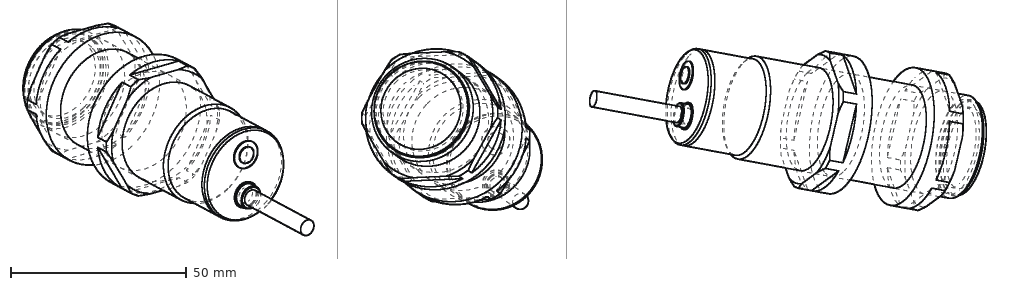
import cadquery as cq
import math


BARREL_RADIUS = 15.0
BARREL_FRONT_X = 1.0
BARREL_REAR_X = 70.6
BARREL_CHAMFER = 1.0
NECK_RADIUS = BARREL_RADIUS - BARREL_CHAMFER
NECK_REAR_X = 87.0

FACE_RING_RADIUS = 13.8
FACE_DISC_RADIUS = 11.8
FACE_DEPTH = 2.4

NUT_RADIUS = 40.0 / 2
HEX_SIDES = 6
NUT_FLAT_DISTANCE = 18.0
NUT_CORNER_RADIUS = NUT_FLAT_DISTANCE / math.cos(math.pi / HEX_SIDES)
NUT_HEX_LENGTH = 5.0
NUT_FLANGE_LENGTH = 5.0
NUT_LENGTH = NUT_HEX_LENGTH + NUT_FLANGE_LENGTH
NUT_CHAMFER_HEIGHT = 1.3
NUT_CHAMFER_ANGLE = 30
NUT_CHAMFER_LENGTH = NUT_CHAMFER_HEIGHT * math.tan(math.radians(NUT_CHAMFER_ANGLE))
FRONT_NUT_X = 9.9
REAR_NUT_X = 49.7

CAP_REAR_X = 88.9
CAP_CHAMFER_LENGTH = 0.7
CAP_CHAMFER_HEIGHT = 0.5
BOSS_COLLAR_HEIGHT = 0.4
GLAND_Z = -6.0
GLAND_COLLAR_RADIUS = 3.9
GLAND_RADIUS = 3.5
GLAND_LENGTH = 2.9
GLAND_CHAMFER = 0.2
LENS_Z = 6.4
LENS_COLLAR_RADIUS = 4.2
LENS_RADIUS = 2.5
LENS_HEIGHT = 0.7

CABLE_RADIUS = 2.4
CABLE_FRONT_X = CAP_REAR_X
CABLE_REAR_X = 118.8


def cylinder(start_x, end_x, radius, z=0):
    """Solid cylinder along X, centred at height z."""
    return (
        cq.Workplane("YZ", origin=(start_x, 0, z))
        .circle(radius)
        .extrude(end_x - start_x)
    )


def turned(points):
    """Solid turned about the X axis from (x, radius) points."""
    return cq.Workplane("XY").polyline(points).close().revolve(360, (0, 0, 0), (1, 0, 0))


def make_housing():
    body = turned([
        (BARREL_FRONT_X, 0),
        (BARREL_FRONT_X, BARREL_RADIUS - BARREL_CHAMFER),
        (BARREL_FRONT_X + BARREL_CHAMFER, BARREL_RADIUS),
        (BARREL_REAR_X - BARREL_CHAMFER, BARREL_RADIUS),
        (BARREL_REAR_X, NECK_RADIUS),
        (NECK_REAR_X, NECK_RADIUS),
        (NECK_REAR_X, 0),
    ])
    face_seat = cylinder(0, FACE_DEPTH, FACE_RING_RADIUS)
    return body.cut(face_seat)


def make_face_disc():
    return cylinder(0, FACE_DEPTH, FACE_DISC_RADIUS)


def make_face_ring():
    return cylinder(0, FACE_DEPTH, FACE_RING_RADIUS).cut(make_face_disc())


def make_lock_nut():
    """Nut with its hexagon end at X = 0 and its flange end at X = NUT_LENGTH."""
    blank = turned([
        (0, 0),
        (0, NUT_RADIUS - NUT_CHAMFER_HEIGHT),
        (NUT_CHAMFER_LENGTH, NUT_RADIUS),
        (NUT_LENGTH, NUT_RADIUS),
        (NUT_LENGTH, 0),
    ])
    hexagon = (
        cq.Workplane("YZ")
        .polygon(HEX_SIDES, 2 * NUT_CORNER_RADIUS)
        .extrude(NUT_HEX_LENGTH)
    )
    outside_hexagon = cylinder(0, NUT_HEX_LENGTH, 2 * NUT_RADIUS).cut(hexagon)
    bore = cylinder(0, NUT_LENGTH, BARREL_RADIUS)
    return blank.cut(outside_hexagon).cut(bore)


def make_lock_nuts():
    """Two nuts on the barrel with their flanges facing each other."""
    nuts = []
    for hex_end_x, turn in ((FRONT_NUT_X, 0), (REAR_NUT_X, 180)):
        nut = make_lock_nut().rotate((0, 0, 0), (0, 0, 1), turn)
        nuts.append(nut.translate((hex_end_x, 0, 0)))
    return nuts


def make_gland():
    collar = cylinder(CAP_REAR_X, CAP_REAR_X + BOSS_COLLAR_HEIGHT, GLAND_COLLAR_RADIUS, GLAND_Z)
    barrel = cylinder(CAP_REAR_X, CAP_REAR_X + GLAND_LENGTH, GLAND_RADIUS, GLAND_Z)
    return barrel.faces(">X").chamfer(GLAND_CHAMFER).union(collar)


def make_lens():
    collar = cylinder(CAP_REAR_X, CAP_REAR_X + BOSS_COLLAR_HEIGHT, LENS_COLLAR_RADIUS, LENS_Z)
    button = cylinder(CAP_REAR_X, CAP_REAR_X + LENS_HEIGHT, LENS_RADIUS, LENS_Z)
    return collar.union(button)


def make_cable():
    return cylinder(CABLE_FRONT_X, CABLE_REAR_X, CABLE_RADIUS, GLAND_Z)


def make_end_cap():
    body = turned([
        (NECK_REAR_X, 0),
        (NECK_REAR_X, NECK_RADIUS),
        (CAP_REAR_X - CAP_CHAMFER_LENGTH, NECK_RADIUS),
        (CAP_REAR_X, NECK_RADIUS - CAP_CHAMFER_HEIGHT),
        (CAP_REAR_X, 0),
    ])
    return body.union(make_gland()).union(make_lens()).cut(make_cable())


housing = make_housing()
face_ring = make_face_ring()
face_disc = make_face_disc()
lock_nuts = make_lock_nuts()
end_cap = make_end_cap()
cable = make_cable()

result = cq.Compound.makeCompound([
    housing.val(),
    face_ring.val(),
    face_disc.val(),
    *[nut.val() for nut in lock_nuts],
    end_cap.val(),
    cable.val(),
])